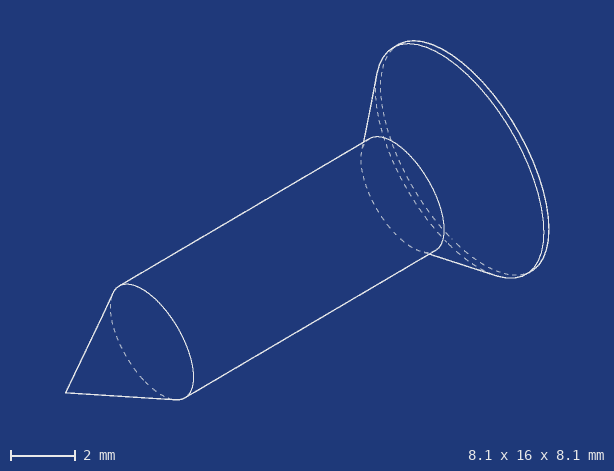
import cadquery as cq
import math

total_length = 16.0
head_diameter = 8.1
rim_thickness = 0.2
head_height = 2.5
shank_diameter = 4.0
tip_half_angle = 30.0

head_radius = head_diameter / 2
shank_radius = shank_diameter / 2
tip_length = shank_radius / math.tan(math.radians(tip_half_angle))

half_profile = (
    cq.Workplane("XY")
    .moveTo(0, 0)
    .lineTo(shank_radius, tip_length)
    .lineTo(shank_radius, total_length - head_height)
    .lineTo(head_radius, total_length - rim_thickness)
    .lineTo(head_radius, total_length)
    .lineTo(0, total_length)
    .close()
)

result = half_profile.revolve(360, (0, 0, 0), (0, 1, 0))